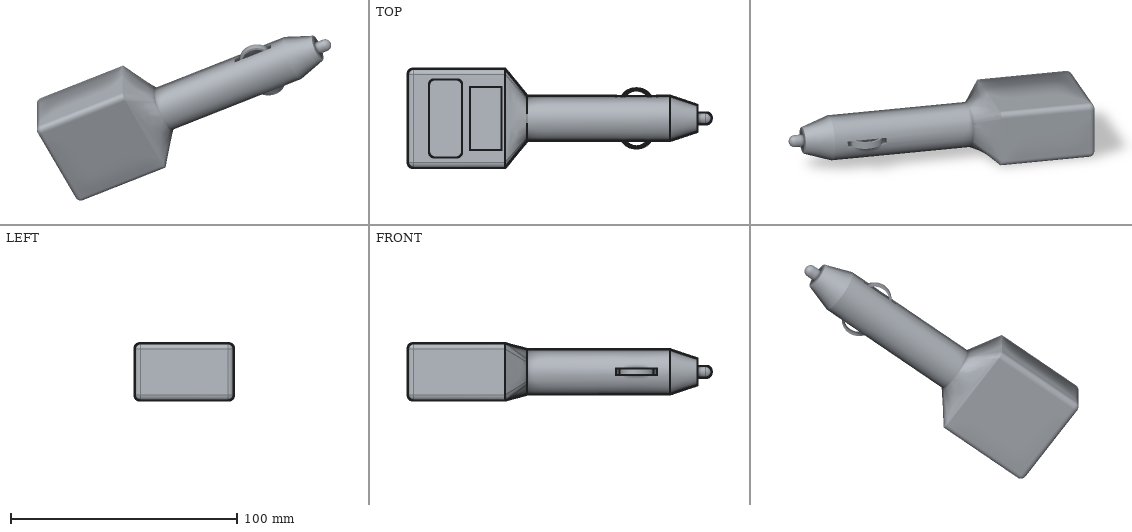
import cadquery as cq


box_length = 43.0
box_width = 44.0
box_height = 25.4
box_fillet = 2.5

neck_end = 52.8
barrel_diameter = 20.0
barrel_end = 115.9
nose_tip_diameter = 11.8
nose_end = 128.1
pin_diameter = 5.4
plug_length = 134.4
pin_radius = pin_diameter / 2
pin_shank_length = plug_length - nose_end - pin_radius

slot_start = 92.0
slot_length = 18.0
slot_height = 3.0
spring_center_x = slot_start + slot_length / 2
spring_reach = 13.3
spring_radius = 7.5
spring_thickness = 1.0
slot_floor = spring_reach - spring_radius

panel_thickness = 1.0
button_panel_start = 9.4
button_panel_length = 14.6
button_panel_width = 34.5
button_panel_corner = 2.5
display_start = 27.5
display_length = 14.0
display_width = 27.8


def make_box():
    """Box rounded on its closed end and its long edges, square where the neck begins."""
    block = cq.Workplane("XY").box(box_length, box_width, box_height)
    block = block.edges("|X or <X").fillet(box_fillet)
    return block.translate((box_length / 2, 0, 0))


def make_neck():
    """Transition from the rounded rectangle of the box to the round barrel."""
    box_outline = cq.Sketch().rect(box_width, box_height).vertices().fillet(box_fillet)
    barrel_offset = cq.Location(cq.Vector(0, 0, neck_end - box_length))
    barrel_outline = cq.Sketch().circle(barrel_diameter / 2).moved(barrel_offset)
    return (
        cq.Workplane("YZ", origin=(box_length, 0, 0))
        .placeSketch(box_outline, barrel_outline)
        .loft()
    )


def make_barrel():
    """Straight barrel with its tapered nose."""
    return (
        cq.Workplane("XY")
        .moveTo(neck_end, 0)
        .lineTo(neck_end, barrel_diameter / 2)
        .lineTo(barrel_end, barrel_diameter / 2)
        .lineTo(nose_end, nose_tip_diameter / 2)
        .lineTo(nose_end, 0)
        .close()
        .revolve(360, (0, 0, 0), (1, 0, 0))
    )


def make_slot():
    """Cutter for the spring slot on the +Y side."""
    return cq.Workplane("XY").box(
        slot_length, spring_reach - slot_floor, slot_height, centered=(True, False, True)
    ).translate((spring_center_x, slot_floor, 0))


def make_spring():
    """Half ring on the slot floor of the +Y side."""
    inner_radius = spring_radius - spring_thickness
    return (
        cq.Workplane("XY", origin=(spring_center_x, slot_floor, 0))
        .moveTo(spring_radius, 0)
        .threePointArc((0, spring_radius), (-spring_radius, 0))
        .lineTo(-inner_radius, 0)
        .threePointArc((0, inner_radius), (inner_radius, 0))
        .close()
        .extrude(slot_height / 2, both=True)
    )


def make_panel(start, length, width):
    """Rectangular panel whose top is flush with the top of the box."""
    return (
        cq.Workplane("XY", origin=(start + length / 2, 0, box_height / 2))
        .rect(length, width)
        .extrude(-panel_thickness)
    )


def make_housing(panels):
    """Box, neck, barrel and integral springs, recessed for the panels."""
    body = make_box().union(make_neck()).union(make_barrel())
    for turn in (0, 180):
        body = body.cut(make_slot().rotate((0, 0, 0), (1, 0, 0), turn))
        body = body.union(make_spring().rotate((0, 0, 0), (1, 0, 0), turn))
    for panel in panels:
        body = body.cut(panel)
    return body


def make_contact_pin():
    """Round-ended pin standing on the end of the nose."""
    return (
        cq.Workplane("XY", origin=(nose_end, 0, 0))
        .lineTo(0, pin_radius)
        .lineTo(pin_shank_length, pin_radius)
        .radiusArc((pin_shank_length + pin_radius, 0), pin_radius)
        .close()
        .revolve(360, (0, 0, 0), (1, 0, 0))
    )


button_panel = make_panel(button_panel_start, button_panel_length, button_panel_width)
button_panel = button_panel.edges("|Z").fillet(button_panel_corner)
display = make_panel(display_start, display_length, display_width)
housing = make_housing([button_panel, display])
contact_pin = make_contact_pin()

result = cq.Compound.makeCompound(
    [housing.solids().val(), button_panel.solids().val(), display.val(), contact_pin.val()]
)